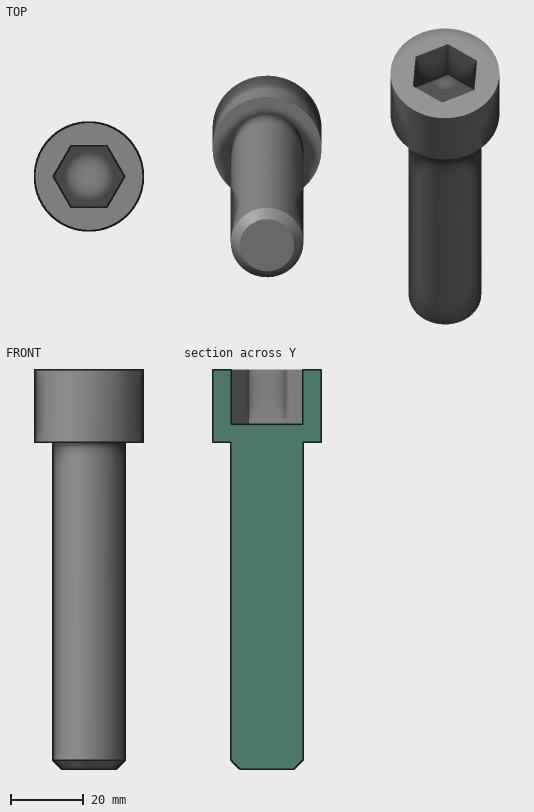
import math

import cadquery as cq

nominal_diameter = 20.0
thread_pitch = 2.5
screw_length = 90.0
thread_length = 52.0
shank_length = screw_length - thread_length
tip_chamfer = thread_pitch

head_diameter = 1.5 * nominal_diameter
head_height = nominal_diameter

socket_across_flats = 17.0
socket_depth = 0.75 * head_height
hexagon_sides = 6
socket_across_corners = socket_across_flats / math.cos(math.pi / hexagon_sides)


def make_cylinder(diameter, bottom_z, height):
    """Upright cylinder on the screw axis."""
    return cq.Workplane("XY").workplane(offset=bottom_z).circle(diameter / 2).extrude(height)


def make_threaded_length():
    """Threaded end at its major diameter, with a chamfered tip."""
    rod = make_cylinder(nominal_diameter, -screw_length, thread_length)
    return rod.faces("<Z").chamfer(tip_chamfer)


def make_hex_socket():
    """Blind hexagonal socket with two corners on the X axis."""
    return (
        cq.Workplane("XY")
        .workplane(offset=head_height)
        .polygon(hexagon_sides, socket_across_corners)
        .extrude(-socket_depth)
    )


head = make_cylinder(head_diameter, 0, head_height).cut(make_hex_socket())
shank = make_cylinder(nominal_diameter, -shank_length, shank_length)

result = head.union(shank, clean=False).union(make_threaded_length(), clean=False)